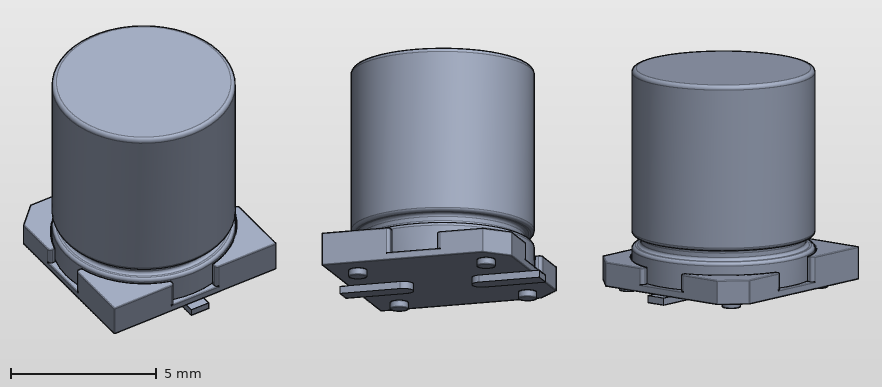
import cadquery as cq
import math

total_height = 7.72
lead_span = 7.2

base_width = 6.6
base_bottom = 0.25
floor_top = 0.51
low_wall_top = 1.10
high_wall_top = 1.39
corner_chamfer = 0.79
notch_width = 1.70
notch_edge_radius = 0.12
base_edge_radius = 0.03

can_radius = 6.3 / 2
socket_clearance = 0.03
can_edge_radius = 0.15
groove_radius = 5.67 / 2
groove_bottom = 1.525
groove_top = 1.915
groove_edge_radius = 0.12

foot_diameter = 0.63
foot_edge_radius = 0.03
foot_spacing = 4.63
lead_width = 0.71
lead_inner_end = 1.07


def arc_inset(radius):
    """Offset of a quarter arc's midpoint from the two lines that it is tangent to."""
    return radius * (1 - math.cos(math.pi / 4))


def base_block(bottom, top):
    """Square base slab with both corners on the -X side cut off and softened upright edges."""
    return (
        cq.Workplane("XY")
        .workplane(offset=bottom)
        .rect(base_width, base_width)
        .extrude(top - bottom)
        .edges("|Z and <X")
        .chamfer(corner_chamfer)
        .edges("|Z")
        .fillet(base_edge_radius)
    )


def corner_walls():
    """Four corner walls around the can, the pair on the -X side lower."""
    wall_height = high_wall_top - floor_top
    above_floor = cq.Workplane("XY").workplane(offset=floor_top)
    socket = above_floor.circle(can_radius + socket_clearance).extrude(wall_height)
    notch_along_x = above_floor.rect(base_width, notch_width).extrude(wall_height)
    notch_along_y = above_floor.rect(notch_width, base_width).extrude(wall_height)
    step = (
        cq.Workplane("XY")
        .workplane(offset=low_wall_top)
        .center(-base_width / 2, 0)
        .rect(base_width, base_width)
        .extrude(high_wall_top - low_wall_top)
    )
    walls = base_block(floor_top, high_wall_top)
    walls = walls.cut(socket).cut(notch_along_x).cut(notch_along_y)
    return walls.cut(notch_mouths(0)).cut(notch_mouths(90)).cut(step)


def notch_mouths(angle):
    """Pair of flared openings rounding the outer wall ends of two opposite notches."""
    r = notch_edge_radius
    bend = arc_inset(r)
    half_notch = notch_width / 2
    half_width = base_width / 2
    mouth = (
        cq.Workplane("XY")
        .workplane(offset=floor_top)
        .moveTo(-half_notch - r, half_width)
        .threePointArc((-half_notch - bend, half_width - bend), (-half_notch, half_width - r))
        .lineTo(half_notch, half_width - r)
        .threePointArc((half_notch + bend, half_width - bend), (half_notch + r, half_width))
        .close()
        .extrude(high_wall_top - floor_top)
    )
    mouth = mouth.rotate((0, 0, 0), (0, 0, 1), angle)
    return mouth.union(mouth.rotate((0, 0, 0), (0, 0, 1), 180))


def base():
    """Floor slab and corner walls with softly rounded outer edges."""
    floor = base_block(base_bottom, floor_top).faces("<Z").edges().fillet(base_edge_radius)
    body = floor.union(corner_walls())
    wall_tops = cq.selectors.BoxSelector(
        (-base_width, -base_width, low_wall_top - base_edge_radius),
        (base_width, base_width, high_wall_top + base_edge_radius),
    )
    body = body.faces("|Z").faces(wall_tops).edges().fillet(base_edge_radius)
    for angle in (0, 90, 180, 270):
        body = body.cut(sill_edge_strip().rotate((0, 0, 0), (0, 0, 1), angle))
    return body


def sill_edge_strip():
    """Strip removed to round the outer edge of the floor in the +X notch."""
    r = base_edge_radius
    bend = arc_inset(r)
    half_width = base_width / 2
    strip_length = notch_width + 2 * notch_edge_radius
    return (
        cq.Workplane("XZ")
        .moveTo(half_width - r, floor_top)
        .threePointArc((half_width - bend, floor_top - bend), (half_width, floor_top - r))
        .lineTo(half_width, floor_top)
        .close()
        .extrude(strip_length / 2, both=True)
    )


def can():
    """Round can with a rounded top rim and a rolled groove near its foot."""
    return (
        cq.Workplane("XY")
        .workplane(offset=floor_top)
        .circle(can_radius)
        .extrude(total_height - floor_top)
        .faces(">Z")
        .edges()
        .fillet(can_edge_radius)
        .cut(groove_ring())
    )


def groove_ring():
    """Ring removed from the can, with rounded mouth and rounded root."""
    r = groove_edge_radius
    bend = arc_inset(r)
    mouth_low = groove_bottom - r
    mouth_high = groove_top + r
    return (
        cq.Workplane("XZ")
        .moveTo(can_radius, mouth_low)
        .threePointArc((can_radius - bend, groove_bottom - bend), (can_radius - r, groove_bottom))
        .lineTo(groove_radius + r, groove_bottom)
        .threePointArc((groove_radius + bend, groove_bottom + bend), (groove_radius, groove_bottom + r))
        .lineTo(groove_radius, groove_top - r)
        .threePointArc((groove_radius + bend, groove_top - bend), (groove_radius + r, groove_top))
        .lineTo(can_radius - r, groove_top)
        .threePointArc((can_radius - bend, groove_top + bend), (can_radius, mouth_high))
        .lineTo(can_radius + r, mouth_high)
        .lineTo(can_radius + r, mouth_low)
        .close()
        .revolve(360, (0, 0, 0), (0, 1, 0))
    )


def feet():
    """Four round standoffs under the base, rounded at both ends."""
    return (
        cq.Workplane("XY")
        .rect(foot_spacing, foot_spacing, forConstruction=True)
        .vertices()
        .circle(foot_diameter / 2)
        .extrude(base_bottom)
        .edges("%CIRCLE")
        .fillet(foot_edge_radius)
    )


def lead(side):
    """Flat lead with a round inner end; side is +1 for +X and -1 for -X."""
    half = lead_width / 2
    outer_end = side * lead_span / 2
    arc_start = side * (lead_inner_end + half)
    return (
        cq.Workplane("XY")
        .moveTo(outer_end, -half)
        .lineTo(arc_start, -half)
        .threePointArc((side * lead_inner_end, 0), (arc_start, half))
        .lineTo(outer_end, half)
        .close()
        .extrude(base_bottom)
    )


result = base().union(can()).union(feet())
for side in (-1, 1):
    result = result.union(lead(side))